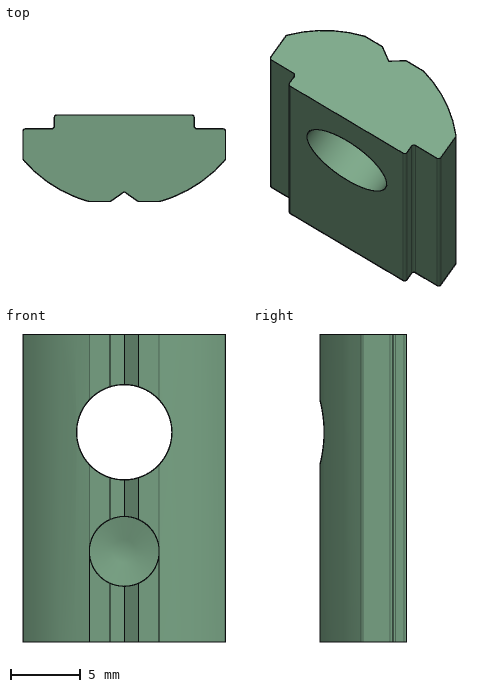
import cadquery as cq
import math

width = 14.5
depth = 6.2
length = 22.0

rib_width = 10.0
rib_height = 1.0
flank_end = 3.2
flat_width = 5.0
groove_width = 2.0
groove_depth = 0.7
edge_radius = 0.2

through_diameter = 6.8
through_height = 15.0
blind_diameter = 5.0
blind_height = 6.5
blind_depth = 3.52
drill_point_angle = 160.0

rib_face = depth / 2
shoulder = rib_face - rib_height
flank_corner = rib_face - flank_end
flat_face = -depth / 2

half_width = width / 2
half_flat = flat_width / 2
arc_centre = (half_width**2 + flank_corner**2 - half_flat**2 - flat_face**2) / (
    2 * (flank_corner - flat_face)
)
arc_radius = math.hypot(half_flat, flat_face - arc_centre)
arc_mid_x = (half_width + half_flat) / 2
arc_mid_y = arc_centre - math.sqrt(arc_radius**2 - arc_mid_x**2)


def make_body():
    """Extrude the cross-section and round its shoulder, rib and flank edges."""
    half_rib = rib_width / 2
    half_groove = groove_width / 2
    body = (
        cq.Workplane("XY")
        .moveTo(-half_rib, rib_face)
        .lineTo(half_rib, rib_face)
        .lineTo(half_rib, shoulder)
        .lineTo(half_width, shoulder)
        .lineTo(half_width, flank_corner)
        .threePointArc((arc_mid_x, arc_mid_y), (half_flat, flat_face))
        .lineTo(half_groove, flat_face)
        .lineTo(0, flat_face + groove_depth)
        .lineTo(-half_groove, flat_face)
        .lineTo(-half_flat, flat_face)
        .threePointArc((-arc_mid_x, arc_mid_y), (-half_width, flank_corner))
        .lineTo(-half_width, shoulder)
        .lineTo(-half_rib, shoulder)
        .close()
        .extrude(length)
    )
    margin = edge_radius / 2
    rounded_zone = cq.selectors.BoxSelector(
        (-width, flank_corner - margin, 0), (width, rib_face + margin, length)
    )
    return body.edges("|Z").edges(rounded_zone).fillet(edge_radius)


def make_through_hole():
    return (
        cq.Workplane("XZ", origin=(0, rib_face, through_height))
        .circle(through_diameter / 2)
        .extrude(depth)
    )


def make_blind_hole():
    """Drilled hole from the flat, ending in a conical point."""
    radius = blind_diameter / 2
    floor = flat_face + blind_depth
    tip = floor + radius / math.tan(math.radians(drill_point_angle / 2))
    return (
        cq.Workplane("XY")
        .moveTo(0, flat_face)
        .lineTo(radius, flat_face)
        .lineTo(radius, floor)
        .lineTo(0, tip)
        .close()
        .revolve(360, (0, 0, 0), (0, 1, 0))
        .translate((0, 0, blind_height))
    )


result = make_body().cut(make_through_hole()).cut(make_blind_hole())